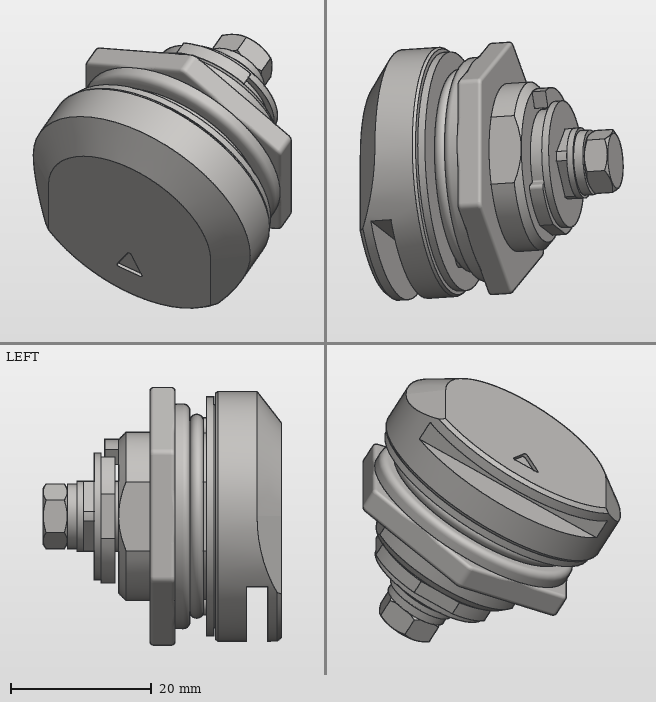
import cadquery as cq
import math


handle_cone_end = 3.48
handle_rim_start = 9.0
handle_back = 9.4
flange_front = 9.6
flange_back = 10.65
o_ring_front = 11.1
nut_front = 13.0
hex_front = 15.15
nut_back = 18.7
housing_chamfer_start = 22.1
housing_back = 23.15
stop_front = 23.65
housing_lug_back = 25.15
stop_back = 25.6
disc_back = 26.65
shaft_back = 28.15
flat_washer_back = 29.05
spring_washer_back = 30.4
screw_back = 33.9

handle_radius = 35.5 / 2
face_radius = 13.25
lower_edge_chamfer = 0.5
lower_edge_chamfer_depth = 0.62
rim_chamfer = 0.25
spacer_radius = 15.85
slot_front = 1.98
slot_back = 4.95
slot_top = -10.0
arrow_half_width = 2.2
arrow_tip = -7.07
arrow_base = -11.98
arrow_depth = 0.5
arrow_corner_radius = 0.3

shaft_radius = 10.0 / 2
square_side = 8.0
screw_shank_radius = 2.5
screw_shank_end = 18.32

flange_radius = 17.0
barrel_radius = 11.98
barrel_half_width = 21.87 / 2
boss_radius = 2.05
boss_height = 0.45
lug_outer_radius = 11.0
lug_inner_radius = 8.5
lug_start_angle = 60
lug_end_angle = 120

o_ring_section_radius = (nut_front - o_ring_front) / 2
o_ring_outer_radius = 14.5
nut_apothem = 32.0 / 2
collar_radius = 15.98
nut_corner_radius = 1.0
nut_edge_radius = 0.5
collar_edge_radius = 1.0

stop_radius = 10.0
stop_flat_distance = 9.5
recess_radius = 8.0
recess_start_angle = -30
recess_end_angle = lug_end_angle
stop_corner_radius = 0.5
recess_corner_radius = 0.25
disc_radius = 9.0

flat_washer_radius = 5.02
spring_washer_radius = 4.6
screw_head_apothem = 4.0
head_end_radius = 3.92
head_chamfer_depth = 0.45

AXIS_START = (0, 0, 0)
AXIS_END = (0, 1, 0)
TOLERANCE = 0.0005


def section(y):
    """Sketch plane across the axis, with local x along X and local y along Z."""
    return cq.Workplane("XZ", origin=(0, y, 0))


def cylinder(radius, y_start, y_end):
    return section(y_start).circle(radius).extrude(y_start - y_end)


def revolved(profile):
    """Solid of revolution about the Y axis from (radius, y) points."""
    return cq.Workplane("XY").polyline(profile).close().revolve(360, AXIS_START, AXIS_END)


def hexagon(apothem, y_start, y_end):
    """Hexagonal prism with two corners on the Z axis."""
    corner_diameter = 2 * apothem / math.cos(math.radians(30))
    prism = section(y_start).polygon(6, corner_diameter).extrude(y_start - y_end)
    return prism.rotate(AXIS_START, AXIS_END, 30)


def square_bar(y_start, y_end):
    """Square drive, corner up, with its corners rounded to the shaft radius."""
    bar = section(y_start).rect(square_side, square_side).extrude(y_start - y_end)
    return bar.rotate(AXIS_START, AXIS_END, 45).intersect(cylinder(shaft_radius, y_start, y_end))


def ring_sector(inner_radius, outer_radius, start_angle, end_angle, y_start, y_end):
    """Part of a ring between two angles measured from +X towards +Z."""

    def at(radius, angle):
        turn = math.radians(angle)
        return (radius * math.cos(turn), radius * math.sin(turn))

    middle_angle = (start_angle + end_angle) / 2
    return (
        section(y_start)
        .moveTo(*at(inner_radius, start_angle))
        .lineTo(*at(outer_radius, start_angle))
        .threePointArc(at(outer_radius, middle_angle), at(outer_radius, end_angle))
        .lineTo(*at(inner_radius, end_angle))
        .threePointArc(at(inner_radius, middle_angle), at(inner_radius, start_angle))
        .close()
        .extrude(y_start - y_end)
    )


def make_handle():
    body = revolved([
        (0, 0),
        (handle_radius - lower_edge_chamfer, 0),
        (handle_radius, lower_edge_chamfer_depth),
        (handle_radius, handle_rim_start),
        (handle_radius - rim_chamfer, handle_back),
        (0, handle_back),
    ])
    half_profile = [
        (0, 0),
        (face_radius, 0),
        (handle_radius, handle_cone_end),
        (handle_radius, handle_back),
        (0, handle_back),
    ]
    cone = revolved(half_profile)
    wedge_half = cq.Workplane("XY").polyline(half_profile).close().extrude(-handle_radius)
    wedge = wedge_half.union(wedge_half.mirror("YZ"))
    body = body.intersect(cone.union(wedge))

    slot = cq.Workplane("XY").box(
        2 * handle_radius, slot_back - slot_front, handle_radius, centered=(True, False, False)
    ).translate((0, slot_front, slot_top - handle_radius))

    arrow = (
        section(0)
        .polyline([(-arrow_half_width, arrow_base), (arrow_half_width, arrow_base), (0, arrow_tip)])
        .close()
        .extrude(-arrow_depth)
        .edges("|Y")
        .fillet(arrow_corner_radius)
    )

    spacer = cylinder(spacer_radius, handle_back, flange_front)
    shaft = cylinder(shaft_radius, flange_front, stop_front)
    drive = square_bar(stop_front, shaft_back)
    screw_hole = cylinder(screw_shank_radius, screw_shank_end, shaft_back)
    return body.cut(slot).cut(arrow).union(spacer).union(shaft).union(drive).cut(screw_hole)


def make_housing():
    flange = cylinder(flange_radius, flange_front, flange_back)
    end_chamfer = housing_back - housing_chamfer_start
    barrel = revolved([
        (0, flange_back),
        (barrel_radius, flange_back),
        (barrel_radius, housing_chamfer_start),
        (barrel_radius - end_chamfer, housing_back),
        (0, housing_back),
    ])
    flats = section(flange_back).rect(2 * barrel_half_width, 2 * barrel_radius)
    barrel = barrel.intersect(flats.extrude(flange_back - housing_back))
    bosses = (
        section(flange_back)
        .pushPoints([(0, barrel_radius), (0, -barrel_radius)])
        .circle(boss_radius)
        .extrude(-boss_height)
    )
    lug = ring_sector(
        lug_inner_radius, lug_outer_radius, lug_start_angle, lug_end_angle, housing_back, housing_lug_back
    )
    bore = cylinder(shaft_radius, flange_front, housing_back)
    return flange.union(barrel).union(bosses).union(lug).cut(bore)


def make_o_ring():
    centre_radius = o_ring_outer_radius - o_ring_section_radius
    centre = cq.Vector(0, o_ring_front + o_ring_section_radius, 0)
    return cq.Solid.makeTorus(centre_radius, o_ring_section_radius, centre, cq.Vector(*AXIS_END))


def make_nut():
    collar = cylinder(collar_radius, nut_front, hex_front).faces("<Y").edges().fillet(collar_edge_radius)
    body = hexagon(nut_apothem, hex_front, nut_back).edges("|Y").fillet(nut_corner_radius)
    body = body.faces(">Y").edges().fillet(nut_edge_radius).union(collar)

    def is_hexagon_rim(edge):
        on_hexagon_front = abs(edge.BoundingBox().ymax - hex_front) < TOLERANCE
        in_one_plane = edge.BoundingBox().ylen < TOLERANCE
        is_collar = edge.geomType() == "CIRCLE" and edge.radius() > nut_corner_radius + TOLERANCE
        return on_hexagon_front and in_one_plane and not is_collar

    body = body.edges().filter(is_hexagon_rim).fillet(nut_edge_radius)
    return body.cut(cylinder(barrel_radius, nut_front, nut_back))


def make_stop_plate():
    side = 2 * stop_flat_distance
    plate = cylinder(stop_radius, stop_front, stop_back)
    plate = plate.intersect(section(stop_front).rect(side, side).extrude(stop_front - stop_back))
    recess = ring_sector(
        recess_radius, 2 * stop_radius, recess_start_angle, recess_end_angle, stop_front, stop_back
    )
    plate = plate.cut(recess)
    for angle in (recess_start_angle, recess_end_angle):
        turn = math.radians(angle)
        for radius, rounding in ((stop_radius, stop_corner_radius), (recess_radius, recess_corner_radius)):
            corner = (radius * math.cos(turn), stop_front, radius * math.sin(turn))
            plate = plate.edges("|Y").edges(cq.NearestToPointSelector(corner)).fillet(rounding)
    return plate.cut(square_bar(stop_front, stop_back))


def make_disc():
    return cylinder(disc_radius, stop_back, disc_back).cut(square_bar(stop_back, disc_back))


def make_screw():
    head = hexagon(screw_head_apothem, spring_washer_back, screw_back)
    corner_radius = screw_head_apothem / math.cos(math.radians(30))
    head = head.intersect(revolved([
        (0, spring_washer_back),
        (head_end_radius, spring_washer_back),
        (corner_radius, spring_washer_back + head_chamfer_depth),
        (corner_radius, screw_back - head_chamfer_depth),
        (head_end_radius, screw_back),
        (0, screw_back),
    ]))
    spring_washer = cylinder(spring_washer_radius, flat_washer_back, spring_washer_back)
    flat_washer = cylinder(flat_washer_radius, shaft_back, flat_washer_back)
    shank = cylinder(screw_shank_radius, screw_shank_end, shaft_back)
    return head.union(spring_washer).union(flat_washer).union(shank)


handle = make_handle()
housing = make_housing()
o_ring = make_o_ring()
nut = make_nut()
stop_plate = make_stop_plate()
disc = make_disc()
screw = make_screw()

result = cq.Compound.makeCompound([
    handle.val(),
    housing.val(),
    o_ring,
    nut.val(),
    stop_plate.val(),
    disc.val(),
    screw.val(),
])